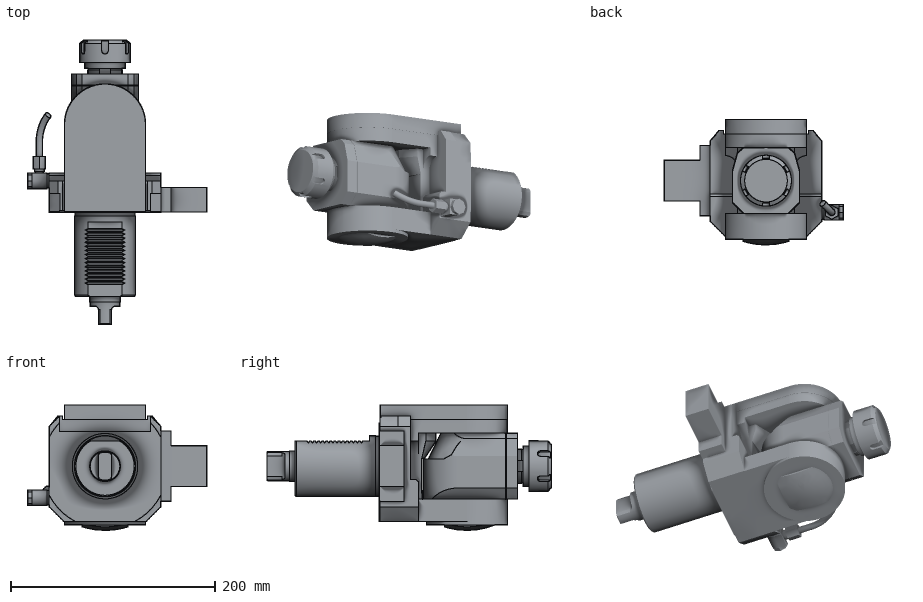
import cadquery as cq
import math


SHANK_R = 29.98
SHANK_LENGTH = 82.5
SHANK_CHAMFER = 1.5
NECK_R = 29.5
NECK_LENGTH = 3.3
FLAT_Z = 24.8
FLAT_START = 9.5
RACK_TEETH = 14
RACK_PITCH = 4.0
RACK_START = 17.3
RACK_DEPTH = 2.0
RACK_HALF_WIDTH = 1.5
HUB_R = 15.0
HUB_END = 87.5
TANG_R = 14.5
TANG_BASE = 92.0
TANG_END = 110.0
TANG_THICKNESS = 13.0
TANG_FILLET = 3.3
TANG_CHAMFER = 0.8
TANG_FLAT_HALF_Z = 10.0
TANG_EDGE_HALF_X = 4.7

FLANGE_HALF_X = 54.7
FLANGE_TOP = 49.5
FLANGE_BOTTOM = -54.5
FLANGE_BACK = 31.0
FRONT_PLATE_DEPTH = 18.5
FOOT_BACK = 38.8
FOOT_TOP = -13.0
FOOT_CHAMFER = 2.5
TOP_CHAMFER_HEIGHT = 10.3
FRONT_CHAMFER_WIDTH = 10.3
REAR_CHAMFER_WIDTH = 8.6
BOTTOM_CHAMFER = 14.5
FACE_R = 61.5
FACE_RELIEF = 0.8
RING_GROOVE_R = 32.0
RING_GROOVE_DEPTH = 1.5
NOTCH_HALF_X = 44.5
NOTCH_BOTTOM = 34.0
NOTCH_DEPTH = 1.7

SIDE_PLATE_X = 64.7
SIDE_PLATE_HALF_Z = 34.5
SIDE_BLOCK_X = 99.8
SIDE_BLOCK_HALF_Z = 20.0
SIDE_FRONT = 0.3
SIDE_BACK = 24.5

PIVOT_Y = 86.2
FORK_R = 40.0
FORK_TOP = 60.0
COVER_BOTTOM = 45.7
COVER_FRONT = 1.0
COVER_SLOT_HALF_X = 41.5
ARM_INSET = 0.3
ARM_GAP_HALF = 32.4
WEB_FRONT = 41.8
WEB_HALF_X = 28.0
WEB_FILLET = 12.0
WEB_FILLET_TOP = 24.5
GUSSET_BOTTOM_Z = 7.5
GUSSET_CREASE_Z = 24.5
GUSSET_SIDE_Y = 45.7
GUSSET_CREST_HALF_X = 11.2
GUSSET_CREST_Y = 55.8
GUSSET_CREST_BOTTOM_Y = 44.5
CAP_BOTTOM = -57.5
BUTTON_R = 28.0
BUTTON_FLAT = 22.3
BUTTON_BOTTOM = -63.0

HEAD_HALF_X = 33.05
HEAD_FRONT = 135.8
HEAD_HALF_SECTION = [
    (22.0, -ARM_GAP_HALF),
    (HEAD_HALF_X, -21.5),
    (HEAD_HALF_X, 9.5),
    (28.2, 27.0),
    (22.3, ARM_GAP_HALF),
]
HEAD_SEAM = 123.8
HEAD_SEAM_WIDTH = 0.8
HEAD_SEAM_DEPTH = 0.42
HEAD_REAR_CENTRE = 76.5
HEAD_SHOULDER_Z = 7.3
HEAD_CONE_TOP_R = 25.7
HEAD_CONE_BASE_R = 38.0

NUT_R = 24.95
NUT_BACK = 146.7
NUT_FRONT = 169.0
NUT_CHAMFER_LENGTH = 3.3
NUT_FACE_R = 21.0
NUT_SLOTS = 6
SLOT_WIDTH = 6.5
SLOT_LENGTH = 13.7
SLOT_DEPTH = 3.0
COLLAR_R = 19.95
COLLAR_BACK = 141.0
SPINDLE_R = 17.9
SPINDLE_FLANGE_FRONT = 139.5
SPINDLE_NECK_R = 17.3
WRENCH_SLOT_HALF = 5.45
WRENCH_SLOT_FLOOR = 16.2
WRENCH_SLOTS = 4

ELBOW_TIP_X = -76.0
ELBOW_HEAD_X = -71.7
ELBOW_Y = 31.0
ELBOW_Z = -31.0
ELBOW_R = 7.8
ELBOW_PLUG_SIDES = 8
ELBOW_BASE_X = -57.0
ELBOW_BASE_R = 7.0
TUBE_X = -64.5
STEM_R = 4.05
STEM_COLLAR_R = 4.88
STEM_COLLAR_BACK = 40.0
TUBE_NUT_BACK = 42.7
TUBE_NUT_FRONT = 55.0
TUBE_NUT_DIAMETER = 14.0
TUBE_NUT_SIDES = 6
TUBE_R = 3.2
TUBE_BEND_START = 68.5
TUBE_BEND_R = 35.0
TUBE_BEND_ANGLE = math.radians(50)


def box(x0, x1, y0, y1, z0, z1):
    return cq.Workplane("XY").box(x1 - x0, y1 - y0, z1 - z0, centered=False).translate((x0, y0, z0))


def symmetric_prism(half_outline, y0, y1):
    """Prism along Y from an (X, Z) outline given for +X and mirrored to -X."""
    outline = half_outline + [(-x, z) for x, z in reversed(half_outline)]
    return cq.Workplane("XZ", origin=(0, y0, 0)).polyline(outline).close().extrude(y0 - y1)


def y_cylinder(radius, y0, y1, x=0, z=0):
    return cq.Workplane("XZ", origin=(x, y0, z)).circle(radius).extrude(y0 - y1)


def z_cone(bottom_r, top_r, z0, z1, y):
    """Cone frustum standing on the line X = 0, Y = y."""
    profile = [(0, z0), (bottom_r, z0), (top_r, z1), (0, z1)]
    return cq.Workplane("XZ", origin=(0, y, 0)).polyline(profile).close().revolve(360, (0, 0), (0, 1))


def make_shank():
    shank = y_cylinder(SHANK_R, -SHANK_LENGTH, -NECK_LENGTH).faces("<Y").chamfer(SHANK_CHAMFER)
    shank = shank.cut(box(-SHANK_R, SHANK_R, -SHANK_LENGTH, -FLAT_START, FLAT_Z, SHANK_R))
    for tooth in range(RACK_TEETH):
        y = -RACK_START - tooth * RACK_PITCH
        groove = (
            cq.Workplane("YZ")
            .polyline([(y - RACK_HALF_WIDTH, FLAT_Z), (y, FLAT_Z - RACK_DEPTH), (y + RACK_HALF_WIDTH, FLAT_Z)])
            .close()
            .extrude(SHANK_R, both=True)
        )
        shank = shank.cut(groove)
    return shank.union(y_cylinder(NECK_R, -NECK_LENGTH, RING_GROOVE_DEPTH))


def make_tang():
    hub = y_cylinder(HUB_R, -HUB_END, -SHANK_LENGTH)
    half = TANG_THICKNESS / 2
    round_start = half + TANG_FILLET
    outline = (
        cq.Workplane("XY")
        .moveTo(-TANG_R, -HUB_END)
        .lineTo(-TANG_R, -TANG_BASE)
        .lineTo(-round_start, -TANG_BASE)
        .radiusArc((-half, -TANG_BASE - TANG_FILLET), TANG_FILLET)
        .lineTo(-half, -TANG_END)
        .lineTo(half, -TANG_END)
        .lineTo(half, -TANG_BASE - TANG_FILLET)
        .radiusArc((round_start, -TANG_BASE), TANG_FILLET)
        .lineTo(TANG_R, -TANG_BASE)
        .lineTo(TANG_R, -HUB_END)
        .close()
        .extrude(TANG_R, both=True)
    )
    turned = y_cylinder(TANG_R, -TANG_END, -HUB_END).faces("<Y").chamfer(TANG_CHAMFER)
    tang = outline.intersect(turned)
    edge_relief = (
        cq.Workplane("XZ", origin=(0, -TANG_BASE - TANG_FILLET, 0))
        .moveTo(half, TANG_FLAT_HALF_Z)
        .lineTo(TANG_EDGE_HALF_X, TANG_R)
        .lineTo(TANG_R, TANG_R)
        .lineTo(TANG_R, TANG_FLAT_HALF_Z)
        .close()
        .extrude(TANG_END - TANG_BASE)
    )
    for mirror_plane in ("XY", "YZ"):
        edge_relief = edge_relief.union(edge_relief.mirror(mirror_plane))
    return hub.union(tang.cut(edge_relief))


def flange_plate(y0, y1, top_chamfer_width):
    half_outline = [
        (FLANGE_HALF_X - BOTTOM_CHAMFER, FLANGE_BOTTOM),
        (FLANGE_HALF_X, FLANGE_BOTTOM + BOTTOM_CHAMFER),
        (FLANGE_HALF_X, FLANGE_TOP - TOP_CHAMFER_HEIGHT),
        (FLANGE_HALF_X - top_chamfer_width, FLANGE_TOP),
    ]
    return symmetric_prism(half_outline, y0, y1)


def make_flange():
    front = flange_plate(0, FRONT_PLATE_DEPTH, FRONT_CHAMFER_WIDTH)
    rear = flange_plate(FRONT_PLATE_DEPTH, FOOT_BACK, REAR_CHAMFER_WIDTH)
    above_foot = box(-FLANGE_HALF_X, FLANGE_HALF_X, FLANGE_BACK, FOOT_BACK, FOOT_TOP, FLANGE_TOP)
    foot_edge = cq.selectors.NearestToPointSelector((0, FOOT_BACK, FOOT_TOP))
    rear = rear.cut(above_foot).edges(foot_edge).chamfer(FOOT_CHAMFER)
    raised_face = y_cylinder(FACE_R, 0, FACE_RELIEF)
    relief = box(-FLANGE_HALF_X, FLANGE_HALF_X, 0, FACE_RELIEF, FLANGE_BOTTOM, FLANGE_TOP).cut(raised_face)
    notch = box(-NOTCH_HALF_X, NOTCH_HALF_X, 0, NOTCH_DEPTH, NOTCH_BOTTOM, FLANGE_TOP)
    cover_slot = box(-COVER_SLOT_HALF_X, COVER_SLOT_HALF_X, 0, FLANGE_BACK, COVER_BOTTOM, FLANGE_TOP)
    ring_groove = y_cylinder(RING_GROOVE_R, 0, RING_GROOVE_DEPTH)
    return front.union(rear).cut(relief).cut(notch).cut(cover_slot).cut(ring_groove)


def make_side_block():
    plate = box(FLANGE_HALF_X, SIDE_PLATE_X, SIDE_FRONT, SIDE_BACK, -SIDE_PLATE_HALF_Z, SIDE_PLATE_HALF_Z)
    block = box(FLANGE_HALF_X, SIDE_BLOCK_X, SIDE_FRONT, SIDE_BACK, -SIDE_BLOCK_HALF_Z, SIDE_BLOCK_HALF_Z)
    return plate.union(block)


def round_ended_plate(radius, y0, z0, z1):
    plate = box(-radius, radius, y0, PIVOT_Y, z0, z1)
    return plate.union(z_cone(radius, radius, z0, z1, PIVOT_Y))


def make_web():
    """Web between the fork arms, widening through a concave fillet below the upper arm."""
    shoulder_x = FORK_R - ARM_INSET
    fillet_z = WEB_FILLET_TOP - WEB_FILLET
    half_outline = [(WEB_HALF_X, -ARM_GAP_HALF), (WEB_HALF_X, ARM_GAP_HALF)]
    web = symmetric_prism(half_outline, FLANGE_BACK, WEB_FRONT)
    for side in (-1, 1):
        shoulder = (
            cq.Workplane("XZ", origin=(0, FLANGE_BACK, 0))
            .moveTo(side * WEB_HALF_X, fillet_z)
            .radiusArc((side * shoulder_x, WEB_FILLET_TOP), side * WEB_FILLET)
            .lineTo(side * shoulder_x, ARM_GAP_HALF)
            .lineTo(side * WEB_HALF_X, ARM_GAP_HALF)
            .close()
            .extrude(FLANGE_BACK - FOOT_BACK)
        )
        web = web.union(shoulder)
    return web


def gusset_outline(z, side_y, crest_y):
    return [
        cq.Vector(-WEB_HALF_X, FOOT_BACK, z),
        cq.Vector(WEB_HALF_X, FOOT_BACK, z),
        cq.Vector(WEB_HALF_X, side_y, z),
        cq.Vector(GUSSET_CREST_HALF_X, crest_y, z),
        cq.Vector(-GUSSET_CREST_HALF_X, crest_y, z),
        cq.Vector(-WEB_HALF_X, side_y, z),
    ]


def make_gusset():
    """Faceted rib under the upper arm: a taper below the crease, upright faces above it."""
    bottom = cq.Wire.makePolygon(gusset_outline(GUSSET_BOTTOM_Z, WEB_FRONT, GUSSET_CREST_BOTTOM_Y), close=True)
    crease = cq.Wire.makePolygon(gusset_outline(GUSSET_CREASE_Z, GUSSET_SIDE_Y, GUSSET_CREST_Y), close=True)
    taper = cq.Workplane(cq.Solid.makeLoft([bottom, crease], True))
    upright = cq.Solid.extrudeLinear(crease, [], cq.Vector(0, 0, ARM_GAP_HALF - GUSSET_CREASE_Z))
    return taper.union(cq.Workplane(upright))


def make_button():
    """Domed button under the fork with three flats on its rim."""
    height = CAP_BOTTOM - BUTTON_BOTTOM
    dome_r = (BUTTON_R**2 + height**2) / (2 * height)
    dome = cq.Workplane("XY", origin=(0, PIVOT_Y, BUTTON_BOTTOM + dome_r)).sphere(dome_r)
    return dome.intersect(
        box(-BUTTON_FLAT, BUTTON_FLAT, PIVOT_Y - BUTTON_FLAT, PIVOT_Y + BUTTON_R, BUTTON_BOTTOM, CAP_BOTTOM)
    )


def make_fork():
    cover = round_ended_plate(FORK_R, COVER_FRONT, COVER_BOTTOM, FORK_TOP)
    upper_arm = round_ended_plate(FORK_R - ARM_INSET, FLANGE_BACK, ARM_GAP_HALF, COVER_BOTTOM)
    lower_arm = round_ended_plate(FORK_R, FLANGE_BACK, FLANGE_BOTTOM, -ARM_GAP_HALF)
    cap = z_cone(FORK_R, FORK_R, CAP_BOTTOM, FLANGE_BOTTOM, PIVOT_Y)
    fork = cover
    for member in (upper_arm, lower_arm, make_web(), make_gusset(), cap, make_button()):
        fork = fork.union(member)
    return fork


def make_head():
    rear_y = HEAD_REAR_CENTRE - HEAD_HALF_X
    prism = symmetric_prism(HEAD_HALF_SECTION, rear_y, HEAD_FRONT)
    seam = symmetric_prism(HEAD_HALF_SECTION, HEAD_SEAM, HEAD_SEAM + HEAD_SEAM_WIDTH)
    seam_core = seam.faces("<Y").wires().toPending().offset2D(-HEAD_SEAM_DEPTH).extrude(
        -HEAD_SEAM_WIDTH, combine=False
    )
    prism = prism.cut(seam.cut(seam_core))
    plan = box(-HEAD_HALF_X, HEAD_HALF_X, HEAD_REAR_CENTRE, HEAD_FRONT, -ARM_GAP_HALF, ARM_GAP_HALF).union(
        z_cone(HEAD_HALF_X, HEAD_HALF_X, -ARM_GAP_HALF, ARM_GAP_HALF, HEAD_REAR_CENTRE)
    )
    behind = box(-HEAD_HALF_X, HEAD_HALF_X, rear_y, PIVOT_Y, HEAD_SHOULDER_Z, ARM_GAP_HALF)
    cone = z_cone(HEAD_CONE_BASE_R, HEAD_CONE_TOP_R, HEAD_SHOULDER_Z, ARM_GAP_HALF, PIVOT_Y)
    return prism.intersect(plan).cut(behind.cut(cone))


def make_collet_nut():
    spindle = y_cylinder(SPINDLE_R, HEAD_FRONT, SPINDLE_FLANGE_FRONT)
    spindle = spindle.union(y_cylinder(SPINDLE_NECK_R, SPINDLE_FLANGE_FRONT, COLLAR_BACK))
    wrench_slot = box(
        -WRENCH_SLOT_HALF, WRENCH_SLOT_HALF, HEAD_FRONT, COLLAR_BACK, WRENCH_SLOT_FLOOR, SPINDLE_R
    )
    for index in range(WRENCH_SLOTS):
        spindle = spindle.cut(wrench_slot.rotate((0, 0, 0), (0, 1, 0), index * 360 / WRENCH_SLOTS))
    collar = y_cylinder(COLLAR_R, COLLAR_BACK, NUT_BACK)
    nut_profile = [
        (0, NUT_BACK),
        (NUT_R, NUT_BACK),
        (NUT_R, NUT_FRONT - NUT_CHAMFER_LENGTH),
        (NUT_FACE_R, NUT_FRONT),
        (0, NUT_FRONT),
    ]
    nut = cq.Workplane("XY").polyline(nut_profile).close().revolve(360, (0, 0), (0, 1))
    half = SLOT_WIDTH / 2
    floor = NUT_R - SLOT_DEPTH
    round_y = NUT_FRONT - SLOT_LENGTH + half
    slot = box(-half, half, round_y, NUT_FRONT, floor, NUT_R).union(
        cq.Workplane("XY", origin=(0, round_y, floor)).circle(half).extrude(SLOT_DEPTH)
    )
    for index in range(NUT_SLOTS):
        nut = nut.cut(slot.rotate((0, 0, 0), (0, 1, 0), index * 360 / NUT_SLOTS))
    return spindle.union(collar).union(nut)


def make_nozzle():
    elbow = cq.Workplane("YZ", origin=(ELBOW_HEAD_X, ELBOW_Y, ELBOW_Z)).circle(ELBOW_R)
    elbow = elbow.extrude(ELBOW_BASE_X - ELBOW_HEAD_X)
    elbow = elbow.union(
        box(ELBOW_HEAD_X, ELBOW_BASE_X, ELBOW_Y, FOOT_BACK, ELBOW_Z - ELBOW_R, ELBOW_Z + ELBOW_R)
    )
    base = cq.Workplane("YZ", origin=(ELBOW_BASE_X, ELBOW_Y, ELBOW_Z)).circle(ELBOW_BASE_R)
    base = base.extrude(-FLANGE_HALF_X - ELBOW_BASE_X)
    plug = cq.Workplane("YZ", origin=(ELBOW_TIP_X, ELBOW_Y, ELBOW_Z)).polygon(ELBOW_PLUG_SIDES, 2 * ELBOW_R)
    plug = plug.extrude(ELBOW_HEAD_X - ELBOW_TIP_X)
    stem = y_cylinder(STEM_R, ELBOW_Y, TUBE_NUT_BACK, TUBE_X, ELBOW_Z)
    collar = y_cylinder(STEM_COLLAR_R, STEM_COLLAR_BACK, TUBE_NUT_BACK, TUBE_X, ELBOW_Z)
    nut = cq.Workplane("XZ", origin=(TUBE_X, TUBE_NUT_BACK, ELBOW_Z))
    nut = nut.transformed(rotate=(0, 0, 90)).polygon(TUBE_NUT_SIDES, TUBE_NUT_DIAMETER)
    nut = nut.extrude(TUBE_NUT_BACK - TUBE_NUT_FRONT)
    return elbow.union(base).union(plug).union(stem).union(collar).union(nut).union(make_tube())


def make_tube():
    """Tube that bends upward and towards +X in a plane tilted 45 degrees about its own axis."""
    plane = cq.Plane(origin=(TUBE_X, 0, ELBOW_Z), xDir=(0, 1, 0), normal=(1, 0, -1))

    def bend_point(angle):
        return (TUBE_BEND_START + TUBE_BEND_R * math.sin(angle), TUBE_BEND_R * (1 - math.cos(angle)))

    path = (
        cq.Workplane(plane)
        .moveTo(TUBE_NUT_FRONT, 0)
        .lineTo(TUBE_BEND_START, 0)
        .threePointArc(bend_point(TUBE_BEND_ANGLE / 2), bend_point(TUBE_BEND_ANGLE))
    )
    return cq.Workplane("XZ", origin=(TUBE_X, TUBE_NUT_FRONT, ELBOW_Z)).circle(TUBE_R).sweep(path)


result = make_flange()
for feature in (
    make_shank(),
    make_tang(),
    make_side_block(),
    make_fork(),
    make_head(),
    make_collet_nut(),
    make_nozzle(),
):
    result = result.union(feature)